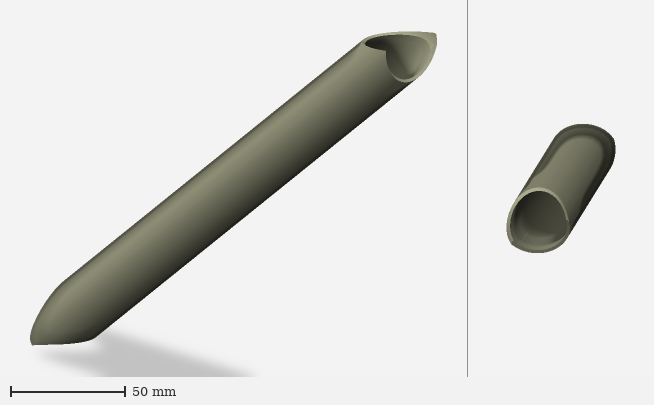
import cadquery as cq

TUBE_DIAMETER = 28.0
TUBE_RADIUS = TUBE_DIAMETER / 2
WALL = 1.5
CUTTER_LENGTH = 170.4

LOWER_NODE = cq.Vector(-106.2, -11.5, -141.0)
UPPER_NODE = cq.Vector(99.7, 11.4, 140.0)

LOWER_STEEP_RADIUS = 14.8
LOWER_STEEP_DIRECTION = cq.Vector(-0.14, 0.18, 0.97)
LOWER_LEVEL_RADIUS = 13.5
LOWER_LEVEL_DIRECTION = cq.Vector(0.99, -0.13, 0)
LOWER_LEVEL_INSET = 0.3

UPPER_LEVEL_DIRECTION = cq.Vector(0.99, -0.1, 0)
UPPER_SLOPING_DIRECTION = cq.Vector(0.8, -0.27, -0.54)
UPPER_SLOPING_OFFSET = 0.9

BLANK_OVERRUN = 8.5

tube_span = UPPER_NODE - LOWER_NODE
tube_direction = tube_span.normalized()


def make_tube():
    """Hollow blank along the line between the two nodes."""
    start = LOWER_NODE - tube_direction * BLANK_OVERRUN
    length = tube_span.Length + 2 * BLANK_OVERRUN
    section = cq.Workplane(cq.Plane(origin=start, normal=tube_direction))
    return section.circle(TUBE_RADIUS).circle(TUBE_RADIUS - WALL).extrude(length)


def make_member(centre, direction, radius):
    """Solid round member centred on a point, used to cut a mitre."""
    start = centre - direction.normalized() * (CUTTER_LENGTH / 2)
    return cq.Workplane(cq.Solid.makeCylinder(radius, CUTTER_LENGTH, start, direction))


lower_level_centre = LOWER_NODE + tube_direction * LOWER_LEVEL_INSET
upper_sloping_centre = UPPER_NODE + tube_direction * UPPER_SLOPING_OFFSET

members = [
    make_member(LOWER_NODE, LOWER_STEEP_DIRECTION, LOWER_STEEP_RADIUS),
    make_member(lower_level_centre, LOWER_LEVEL_DIRECTION, LOWER_LEVEL_RADIUS),
    make_member(UPPER_NODE, UPPER_LEVEL_DIRECTION, TUBE_RADIUS),
    make_member(upper_sloping_centre, UPPER_SLOPING_DIRECTION, TUBE_RADIUS),
]

mitred = make_tube()
for member in members:
    mitred = mitred.cut(member)

result = cq.Workplane(max(mitred.solids().vals(), key=lambda solid: solid.Volume()))